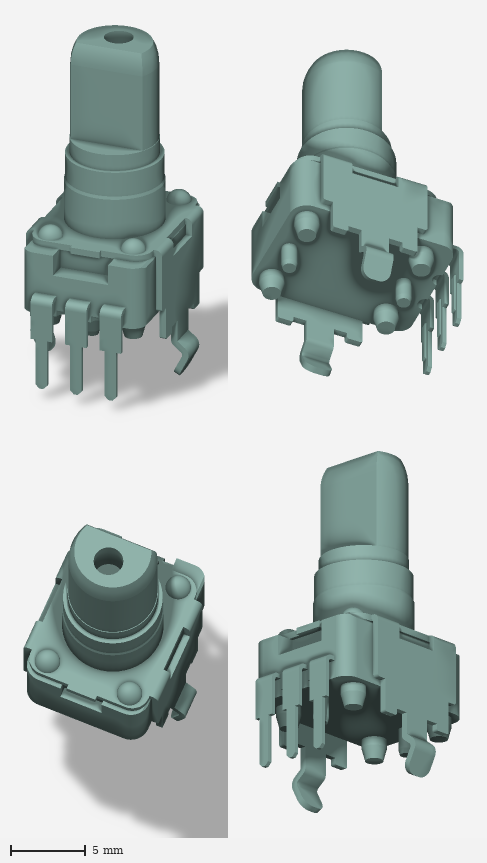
import cadquery as cq
import math


housing_width = 8.75
housing_back = 5.5
housing_front = -6.28
housing_height = 4.47
back_corner_radius = 1.24
front_corner_radius = 1.0
side_chamfer = 0.17
top_notch_height = 1.48
front_notch_width = 4.0
front_notch_depth = 1.4
back_notch_width = 3.0
back_notch_depth = 0.71
foot_relief_radius = 0.5
foot_relief_height = 0.45

sheet = 0.45
cover_top = housing_height + sheet
cover_width = 8.62
cover_length = 10.38
cover_corner_radius = 1.2
tab_width = 2.1
side_outer_x = 4.93
side_inner_x = side_outer_x - sheet
side_width = 7.62
side_bottom = 0.38
side_corner_radius = 0.2
skirt_width = 6.19
skirt_bottom = -1.95
foot_width = 1.12
foot_top = -1.48
foot_corner_radius = 0.15
window_width = 3.38
window_bottom = 3.67
window_inner_x = 4.43

clip_width = 2.0
clip_bend_top = -3.0
clip_span = 11.45
clip_reach = clip_span / 2
clip_upper_slope = math.radians(38)
clip_lower_slope = math.radians(63)
clip_elbow_radius = 0.71
clip_bottom = -5.78
clip_tip_radius = 0.75

rivet_x = 3.0
rivet_y = 4.2
rivet_radius = 0.85
dome_height = 0.74
rivet_shank = 0.6
rivet_bottom = 1.48
rivet_tip_radius = 0.62
center_peg_radius = 0.55
center_peg_tip_radius = 0.45
center_peg_bottom = 1.83

lower_bushing_radius = 3.43
upper_bushing_radius = 3.35
lower_bushing_height = 2.93
bushing_cone_height = 0.21
bushing_height = 4.9
shaft_base_radius = 3.05
shaft_radius = 3.0
flat_y = -shaft_radius / 2
flat_start = 6.07
shaft_height = 13.1
crown_radius = shaft_radius
crown_height = crown_radius / 2
hole_radius = 1.0
hole_y = (shaft_radius + flat_y) / 2
hole_depth = 3.0

terminal_pitch = 2.5
terminal_thickness = 0.3
terminal_top = 1.55
terminal_front = -7.16
terminal_bend_radius = 0.5
terminal_wide = 1.55
terminal_narrow = 0.8
terminal_shoulder = -1.52
terminal_bottom = -5.12
terminal_tip_chamfer = 0.25
rib_width = 0.4
rib_height = 0.15
rib_top = -0.62
rib_bottom = -3.97
rib_chamfer = 0.1


def block(x_size, y_min, y_max, z_min, z_max):
    """Box centred on X, placed by its Y and Z limits."""
    box = cq.Workplane("XY").box(x_size, y_max - y_min, z_max - z_min, centered=(True, False, False))
    return box.translate((0, y_min, z_min))


def both_sides(right_part):
    """The given +X part joined with its mirror image at -X."""
    return right_part.union(right_part.mirror("YZ"))


def make_housing():
    body = block(housing_width, housing_front, housing_back, 0, housing_height)
    body = body.edges("|Z and >Y").fillet(back_corner_radius)
    body = body.edges("|Z and <Y").fillet(front_corner_radius)
    half = housing_width / 2
    wedge = (
        cq.Workplane("XZ", origin=(0, housing_back, 0))
        .moveTo(half, housing_height)
        .lineTo(half - side_chamfer, housing_height)
        .lineTo(half, housing_height - side_chamfer)
        .close()
        .extrude(housing_back - housing_front)
    )
    body = body.cut(both_sides(wedge))
    notch_floor = housing_height - top_notch_height
    front_notch_end = housing_front + front_notch_depth
    body = body.cut(block(front_notch_width, housing_front, front_notch_end, notch_floor, housing_height))
    back_notch_start = housing_back - back_notch_depth
    body = body.cut(block(back_notch_width, back_notch_start, housing_back, notch_floor, housing_height))
    relief_x = terminal_pitch / 2
    reliefs = (
        cq.Workplane("XY")
        .pushPoints([(-relief_x, housing_front), (relief_x, housing_front)])
        .circle(foot_relief_radius)
        .extrude(foot_relief_height)
    )
    return body.cut(reliefs)


def make_cover_plate():
    plate = block(cover_width, -cover_length / 2, cover_length / 2, housing_height, cover_top)
    plate = plate.edges("|Z").fillet(cover_corner_radius)
    return plate.union(block(tab_width, -housing_back, housing_back, housing_height, cover_top))


def make_side_sheet():
    """The +X side of the cover: bend, flat wall and lower feet."""
    wall = (
        cq.Workplane("XZ", origin=(0, side_width / 2, 0))
        .moveTo(0, housing_height)
        .lineTo(side_inner_x, housing_height)
        .lineTo(side_inner_x, side_bottom)
        .lineTo(side_outer_x, side_bottom)
        .lineTo(side_outer_x, housing_height)
        .radiusArc((side_inner_x, cover_top), -sheet)
        .lineTo(0, cover_top)
        .close()
        .extrude(side_width)
    )
    wall = wall.edges("|X and <Z").fillet(side_corner_radius)
    skirt = block(sheet, -skirt_width / 2, skirt_width / 2, foot_top, side_bottom)
    for foot_y in (-skirt_width / 2, skirt_width / 2 - foot_width):
        foot = block(sheet, foot_y, foot_y + foot_width, skirt_bottom, side_bottom)
        skirt = skirt.union(foot.edges("|X and <Z").fillet(foot_corner_radius))
    skirt = skirt.translate((side_outer_x - sheet / 2, 0, 0))
    window_depth = side_outer_x - window_inner_x
    window = block(window_depth, -window_width / 2, window_width / 2, window_bottom, cover_top)
    window = window.translate((window_inner_x + window_depth / 2, 0, 0))
    return wall.union(skirt).cut(window)


def make_clip():
    """Spring clip at +X: out to an elbow, then back in to a rounded tip."""
    mitre_tilt = (clip_lower_slope - clip_upper_slope) / 2
    half_turn = math.pi / 2 - (clip_upper_slope + clip_lower_slope) / 2
    elbow_x = clip_reach + clip_elbow_radius * (math.cos(mitre_tilt) / math.cos(half_turn) - 1)
    elbow_z = clip_bend_top - (elbow_x - side_outer_x) * math.tan(clip_upper_slope)
    mitre_length = sheet / math.cos(half_turn)
    inner_elbow_x = elbow_x - mitre_length * math.cos(mitre_tilt)
    inner_elbow_z = elbow_z - mitre_length * math.sin(mitre_tilt)
    inner_bend_z = clip_bend_top - sheet * math.tan((math.pi / 2 - clip_upper_slope) / 2)
    tip_x = elbow_x - (elbow_z - clip_bottom) / math.tan(clip_lower_slope)
    tip_inner_x = tip_x - sheet * math.sin(clip_lower_slope)
    tip_inner_z = clip_bottom + sheet * math.cos(clip_lower_slope)
    half_width = clip_width / 2
    clip = (
        cq.Workplane("XZ", origin=(0, half_width, 0))
        .moveTo(side_inner_x, foot_top)
        .lineTo(side_outer_x, foot_top)
        .lineTo(side_outer_x, clip_bend_top)
        .lineTo(elbow_x, elbow_z)
        .lineTo(tip_x, clip_bottom)
        .lineTo(tip_inner_x, tip_inner_z)
        .lineTo(inner_elbow_x, inner_elbow_z)
        .lineTo(side_inner_x, inner_bend_z)
        .close()
        .extrude(clip_width)
    )
    rounded_corners = [
        ((side_inner_x, 0, inner_bend_z), sheet),
        ((elbow_x, 0, elbow_z), clip_elbow_radius),
        ((inner_elbow_x, 0, inner_elbow_z), clip_elbow_radius - sheet),
    ]
    tip_mid_x = (tip_x + tip_inner_x) / 2
    tip_mid_z = (clip_bottom + tip_inner_z) / 2
    for tip_y in (-half_width, half_width):
        rounded_corners.append(((tip_mid_x, tip_y, tip_mid_z), clip_tip_radius))
    for corner, radius in rounded_corners:
        clip = clip.edges(cq.selectors.NearestToPointSelector(corner)).fillet(radius)
    return clip


def make_rivet():
    sphere_radius = (rivet_radius**2 + dome_height**2) / (2 * dome_height)
    dome_top = cover_top + dome_height
    mid_angle = math.asin(rivet_radius / sphere_radius) / 2
    mid_x = sphere_radius * math.sin(mid_angle)
    mid_z = dome_top - sphere_radius * (1 - math.cos(mid_angle))
    return (
        cq.Workplane("XZ")
        .moveTo(0, dome_top)
        .threePointArc((mid_x, mid_z), (rivet_radius, cover_top))
        .lineTo(rivet_radius, -rivet_shank)
        .lineTo(rivet_tip_radius, -rivet_bottom)
        .lineTo(0, -rivet_bottom)
        .close()
        .revolve(360, (0, 0), (0, 1))
    )


def make_center_peg():
    return (
        cq.Workplane("XZ")
        .moveTo(0, foot_relief_height)
        .lineTo(center_peg_radius, foot_relief_height)
        .lineTo(center_peg_radius, -rivet_bottom)
        .lineTo(center_peg_tip_radius, -center_peg_bottom)
        .lineTo(0, -center_peg_bottom)
        .close()
        .revolve(360, (0, 0), (0, 1))
    )


def make_bushing():
    return (
        cq.Workplane("XZ", origin=(0, 0, cover_top))
        .moveTo(0, 0)
        .lineTo(lower_bushing_radius, 0)
        .lineTo(lower_bushing_radius, lower_bushing_height)
        .lineTo(upper_bushing_radius, lower_bushing_height + bushing_cone_height)
        .lineTo(upper_bushing_radius, bushing_height)
        .lineTo(0, bushing_height)
        .close()
        .revolve(360, (0, 0), (0, 1))
    )


def make_shaft():
    crown_start = shaft_height - crown_height
    crown_inset = crown_radius - math.sqrt(crown_radius**2 - crown_height**2)
    crown_edge = shaft_radius - crown_inset
    round_shaft = (
        cq.Workplane("XZ", origin=(0, 0, cover_top))
        .lineTo(shaft_base_radius, 0)
        .lineTo(shaft_base_radius, flat_start)
        .lineTo(shaft_radius, flat_start)
        .lineTo(shaft_radius, crown_start)
        .radiusArc((crown_edge, shaft_height), -crown_radius)
        .lineTo(0, shaft_height)
        .close()
        .revolve(360, (0, 0), (0, 1))
    )
    flat_cut = (
        cq.Workplane("YZ", origin=(-shaft_radius, 0, cover_top))
        .moveTo(-shaft_radius, flat_start)
        .lineTo(flat_y, flat_start)
        .lineTo(flat_y, crown_start)
        .radiusArc((flat_y + crown_inset, shaft_height), crown_radius)
        .lineTo(-shaft_radius, shaft_height)
        .close()
        .extrude(2 * shaft_radius)
    )
    hole = (
        cq.Workplane("XY", origin=(0, hole_y, cover_top + shaft_height - hole_depth))
        .circle(hole_radius)
        .extrude(hole_depth)
    )
    return round_shaft.cut(flat_cut).cut(hole)


def make_terminal():
    inner_y = terminal_front + terminal_thickness
    under_z = terminal_top - terminal_thickness
    strip = (
        cq.Workplane("YZ", origin=(-terminal_wide / 2, 0, 0))
        .moveTo(housing_front, terminal_top)
        .lineTo(terminal_front, terminal_top)
        .lineTo(terminal_front, terminal_shoulder)
        .lineTo(inner_y, terminal_shoulder)
        .lineTo(inner_y, under_z)
        .lineTo(housing_front, under_z)
        .close()
        .extrude(terminal_wide)
    )
    strip = strip.edges("|X and >Z and <Y").fillet(terminal_bend_radius)
    inner_edge = cq.selectors.NearestToPointSelector((0, inner_y, under_z))
    strip = strip.edges(inner_edge).fillet(terminal_bend_radius - terminal_thickness)
    pin = block(terminal_narrow, terminal_front, inner_y, terminal_bottom, terminal_shoulder)
    pin = pin.edges("|Y and <Z").chamfer(terminal_tip_chamfer)
    rib = block(rib_width, inner_y, inner_y + rib_height, rib_bottom, rib_top)
    rib = rib.edges("|X and >Y").chamfer(rib_chamfer)
    return strip.union(pin).union(rib)


result = make_housing().union(make_cover_plate())
result = result.union(both_sides(make_side_sheet().union(make_clip())))
result = result.union(make_bushing()).union(make_shaft())
for y in (-rivet_y, rivet_y):
    result = result.union(make_center_peg().translate((0, y, 0)))
    for x in (-rivet_x, rivet_x):
        result = result.union(make_rivet().translate((x, y, 0)))
for x in (-terminal_pitch, 0, terminal_pitch):
    result = result.union(make_terminal().translate((x, 0, 0)))